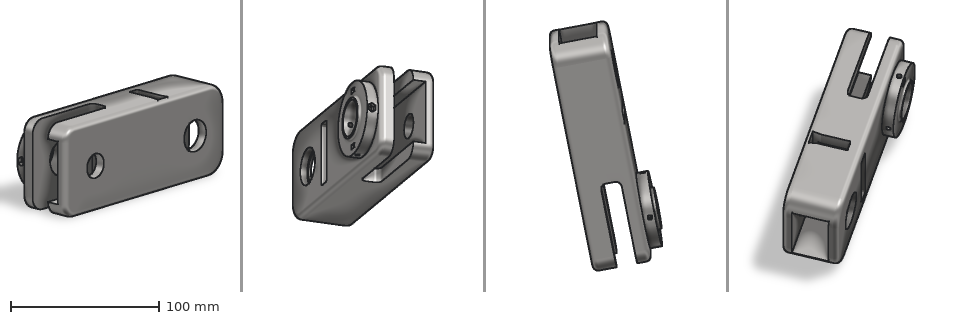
import cadquery as cq
import math

body_width = 40.0
body_length = 160.0
body_height = 64.0
rear_corner_radius = 15.0
front_corner_radius = 10.0
side_edge_radius = 4.0

thick_wall = 10.0
thin_wall = 7.0
cavity_height = body_height - 2 * thick_wall
cavity_right = body_width - thin_wall

fork_slot_width = 14.0
fork_slot_length = 60.0
fork_slot_radius = 4.0

axis_inset = 30.0
hub_y = -body_length / 2 + axis_inset
rear_hole_y = body_length / 2 - axis_inset
rear_hole_diameter = 22.0
rear_recess_diameter = 26.0
rear_recess_depth = 5.0

hub_diameter = 52.0
hub_thickness = 8.0
collar_base_diameter = 32.0
collar_height = 2.0
hub_bore_diameter = 25.0
pin_hole_diameter = 17.0

screw_hole_diameter = 3.2
screw_head_width = 5.5
screw_head_depth = 4.0
screw_flat_width = 6.4
screw_x = -4.5
nut_width = 5.6
nut_thickness = 3.0
nut_radius = 20.0
nut_pocket_depth = hub_thickness + screw_x + nut_width / 2

strap_y = 20.8
side_slot_width = 10.0
top_slot_width = 8.0
top_slot_radius = 1.0
side_slot_radius = 2.0
dovetail_base = 10.0
dovetail_depth = 4.0
dovetail_length = 6.0
dovetail_floor_z = 7.0


def box(x_range, y_range, z_range):
    """Box spanning the given (low, high) ranges."""
    corner = (x_range[0], y_range[0], z_range[0])
    size = [high - low for low, high in (x_range, y_range, z_range)]
    return cq.Workplane("XY").box(*size, centered=False).translate(corner)


def x_cylinder(diameter, y, x_start, x_end):
    """Cylinder along X at height zero."""
    plane = cq.Workplane("YZ", origin=(x_start, y, 0))
    return plane.circle(diameter / 2).extrude(x_end - x_start)


def make_body():
    """Solid block with rounded corners and rounded side edges."""
    half_length = body_length / 2
    half_height = body_height / 2
    block = box((0, body_width), (-half_length, half_length), (-half_height, half_height))
    block = block.edges("|X and >Y").fillet(rear_corner_radius)
    block = block.edges("|X and <Y").fillet(front_corner_radius)
    return block.faces("<X or >X").edges().fillet(side_edge_radius)


def make_cavity():
    """Full-length cavity; the left wall is thicker behind the hub."""
    half_length = body_length / 2
    z_range = (-cavity_height / 2, cavity_height / 2)
    front = box((thick_wall, cavity_right), (-half_length, half_length), z_range)
    rear = box((thin_wall, cavity_right), (fork_slot_length - half_length, half_length), z_range)
    return front.union(rear)


def make_fork_slot():
    """Slot through the top and bottom walls, open at the front end."""
    front_y = -body_length / 2
    slot = box(
        (thick_wall, thick_wall + fork_slot_width),
        (front_y, front_y + fork_slot_length),
        (-body_height / 2, body_height / 2),
    )
    return slot.edges("|Z and >Y").fillet(fork_slot_radius)


def make_side_strap_slot():
    """Slot through the left wall, as tall as the cavity."""
    slot = box(
        (0, thick_wall),
        (strap_y - side_slot_width / 2, strap_y + side_slot_width / 2),
        (-cavity_height / 2, cavity_height / 2),
    )
    return slot.edges("|X").fillet(side_slot_radius)


def make_top_strap_slot():
    """Slot through the top wall, leading into the dovetail groove."""
    slot = box(
        (thick_wall, cavity_right),
        (strap_y - top_slot_width / 2, strap_y + top_slot_width / 2),
        (0, body_height / 2),
    )
    return slot.edges("|Z and <X").fillet(top_slot_radius)


def make_dovetail_groove():
    """Groove open at the top that widens toward its base in the right wall."""
    base_x = cavity_right + dovetail_depth
    mouth_x = base_x - dovetail_length
    outline = [
        (mouth_x, strap_y - top_slot_width / 2),
        (base_x, strap_y - dovetail_base / 2),
        (base_x, strap_y + dovetail_base / 2),
        (mouth_x, strap_y + top_slot_width / 2),
    ]
    plane = cq.Workplane("XY", origin=(0, 0, dovetail_floor_z))
    return plane.polyline(outline).close().extrude(body_height / 2 - dovetail_floor_z)


def make_collar():
    """Raised collar whose concave flank runs out onto the hub face."""
    base_radius = collar_base_diameter / 2
    rim_radius = base_radius - collar_height
    bulge = collar_height * (1 - math.sqrt(0.5))
    rim_x = -hub_thickness - collar_height
    profile = (
        cq.Workplane("XY")
        .moveTo(0, 0)
        .lineTo(0, base_radius)
        .lineTo(-hub_thickness, base_radius)
        .threePointArc((-hub_thickness - bulge, rim_radius + bulge), (rim_x, rim_radius))
        .lineTo(rim_x, 0)
        .close()
    )
    return profile.revolve(360, (0, 0, 0), (1, 0, 0)).translate((0, hub_y, 0))


def make_hub():
    """Disc with four small flats and a raised collar."""
    disc = x_cylinder(hub_diameter, hub_y, -hub_thickness, 0)
    flat_distance = math.sqrt((hub_diameter / 2) ** 2 - (screw_flat_width / 2) ** 2)
    flats = box(
        (-hub_thickness, 0),
        (hub_y - flat_distance, hub_y + flat_distance),
        (-flat_distance, flat_distance),
    )
    return disc.intersect(flats).union(make_collar())


def cut_screw_features(part):
    """Cross-drill the hub, sink the hexagonal head recess in front and cut the nut pockets."""
    hub_radius = hub_diameter / 2
    vertical = cq.Workplane("XY", origin=(screw_x, hub_y, -hub_radius))
    part = part.cut(vertical.circle(screw_hole_diameter / 2).extrude(hub_diameter))
    along = cq.Workplane("XZ", origin=(screw_x, hub_y + hub_radius, 0))
    part = part.cut(along.circle(screw_hole_diameter / 2).extrude(hub_diameter))
    head = cq.Workplane("XZ", origin=(screw_x, hub_y - hub_radius + screw_head_depth, 0))
    hexagon = head.polygon(6, screw_head_width, circumscribed=True)
    part = part.cut(hexagon.extrude(screw_head_depth))
    for side in (-1, 1):
        pocket = cq.Workplane("XY").box(nut_pocket_depth, nut_width, nut_thickness)
        pocket_x = -hub_thickness + nut_pocket_depth / 2
        part = part.cut(pocket.translate((pocket_x, hub_y, side * nut_radius)))
    return part


result = make_body().union(make_hub())

for opening in (
    make_cavity(),
    make_fork_slot(),
    make_side_strap_slot(),
    make_top_strap_slot(),
    make_dovetail_groove(),
    x_cylinder(rear_hole_diameter, rear_hole_y, 0, body_width),
    x_cylinder(rear_recess_diameter, rear_hole_y, 0, rear_recess_depth),
    x_cylinder(hub_bore_diameter, hub_y, -hub_thickness - collar_height, thick_wall),
    x_cylinder(pin_hole_diameter, hub_y, cavity_right, body_width),
):
    result = result.cut(opening)

result = cut_screw_features(result)